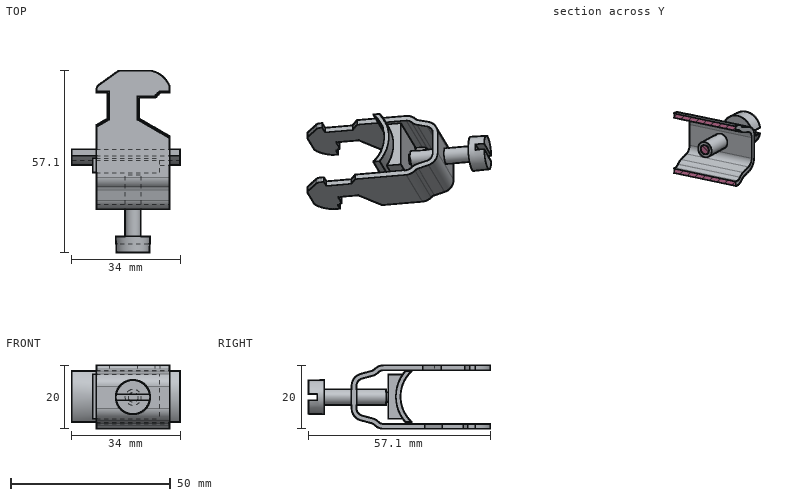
import cadquery as cq
import math


bracket_width = 22.95
bracket_height = 20.0
sheet = 1.6
arm_tip_y = 43.55
inner_bend = 2.4
outer_bend = inner_bend + sheet
arm_bend_y = 10.1
steep_angle = math.radians(45)
flank_angle = math.radians(15)
half_width = bracket_width / 2

tip_left_x = -4.45
tip_right_x = 5.65
slope_end_y = 38.55
nose_end_y = 38.75
nose_radius = 8.0
hook_corner_radius = 2.0

hook_y = 37.05
step_y = 35.5
neck_base_y = 28.2
neck_left_x = -7.5
neck_right_x = 1.4
step_inner_x = 6.8
step_outer_x = step_inner_x + hook_y - step_y
shoulder_angle = math.radians(30)
lower_arm_margin = 0.5
notch_overrun = 2.85

shaft_radius = 2.5
shaft_end_y = 10.9
tip_radius = 1.55
head_radius = 5.4
head_end_radius = 5.3
head_height = 5.1
head_end_y = arm_tip_y - 57.1
slot_width = 1.9
slot_depth = 2.8

saddle_length = 34.0
saddle_left_x = -19.25
saddle_height = 16.05
saddle_thickness = 1.5
saddle_inner_radius = 10.85
saddle_outer_radius = saddle_inner_radius + saddle_thickness
saddle_axis_y = 26.25
saddle_rise = 0.15
pad_left_x = -12.7
pad_back_y = 11.55
pad_height = 13.95
saddle_middle_x = saddle_left_x + saddle_length / 2
pad_length = 2 * (saddle_middle_x - pad_left_x)


def on_circle(center, radius, angle):
    """Point on a YZ circle; the angle runs from +Z towards -Y."""
    return (center[0] - radius * math.sin(angle), center[1] + radius * math.cos(angle))


def strip_envelope(inset):
    """Solid bounded by the bracket's outer skin moved inwards by the inset."""
    convex = outer_bend - inset
    concave = inner_bend + inset
    arm_center = (arm_bend_y, bracket_height / 2 - outer_bend)
    waist_center = on_circle(arm_center, outer_bend + inner_bend, steep_angle)
    flank_start = on_circle(waist_center, -inner_bend, flank_angle)
    flank_end_y = outer_bend * (1 - math.sin(flank_angle))
    flank_end_z = flank_start[1] - (flank_start[0] - flank_end_y) * math.tan(flank_angle)
    web_center = (outer_bend, flank_end_z - outer_bend * math.cos(flank_angle))
    mid_waist = (steep_angle + flank_angle) / 2
    mid_web = (flank_angle + math.pi / 2) / 2

    half = (
        cq.Workplane("YZ", origin=(-half_width, 0, 0))
        .moveTo(arm_tip_y, 0)
        .lineTo(arm_tip_y, bracket_height / 2 - inset)
        .lineTo(arm_bend_y, bracket_height / 2 - inset)
        .threePointArc(
            on_circle(arm_center, convex, steep_angle / 2),
            on_circle(arm_center, convex, steep_angle),
        )
        .threePointArc(
            on_circle(waist_center, -concave, mid_waist),
            on_circle(waist_center, -concave, flank_angle),
        )
        .lineTo(*on_circle(web_center, convex, flank_angle))
        .threePointArc(
            on_circle(web_center, convex, mid_web),
            on_circle(web_center, convex, math.pi / 2),
        )
        .lineTo(inset, 0)
        .close()
        .extrude(bracket_width)
    )
    return half.union(half.mirror("XY"))


def hook_outline():
    """Plan shape of the strip with its sloped left and rounded right tip corners."""
    blank = (
        cq.Workplane("XY", origin=(0, 0, -bracket_height / 2))
        .moveTo(-half_width, 0)
        .lineTo(half_width, 0)
        .lineTo(half_width, nose_end_y)
        .radiusArc((tip_right_x, arm_tip_y), -nose_radius)
        .lineTo(tip_left_x, arm_tip_y)
        .lineTo(-half_width, slope_end_y)
        .close()
        .extrude(bracket_height)
    )
    for x, y in [(tip_left_x, arm_tip_y), (-half_width, slope_end_y)]:
        corner = cq.selectors.NearestToPointSelector((x, y, 0))
        blank = blank.edges(corner).fillet(hook_corner_radius)
    return blank


def arm_notches(margin, height):
    """Both side notches of one arm, shrunk by the margin, from the middle plane to the height."""
    outside_x = half_width + notch_overrun
    left_drop = (outside_x + neck_left_x) * math.tan(shoulder_angle)
    right_drop = (outside_x - neck_right_x) * math.tan(shoulder_angle)
    left = [
        (-outside_x, hook_y),
        (neck_left_x, hook_y),
        (neck_left_x, neck_base_y),
        (-outside_x, neck_base_y - left_drop),
    ]
    right = [
        (outside_x, hook_y),
        (step_outer_x, hook_y),
        (step_inner_x, step_y),
        (neck_right_x, step_y),
        (neck_right_x, neck_base_y),
        (outside_x, neck_base_y - right_drop),
    ]
    cutters = cq.Workplane("XY")
    for points in (left, right):
        outline = cq.Workplane("XY").polyline(points).close()
        if margin > 0:
            outline = outline.offset2D(-margin, "intersection")
        cutters = cutters.add(outline.extrude(height))
    return cutters.combine()


def make_bracket():
    strip = strip_envelope(0).cut(strip_envelope(sheet))
    strip = strip.intersect(hook_outline())
    strip = strip.cut(arm_notches(0, bracket_height / 2))
    strip = strip.cut(arm_notches(lower_arm_margin, -bracket_height / 2))
    screw_hole = cq.Workplane("XZ").circle(shaft_radius).extrude(-outer_bend)
    return strip.cut(screw_hole)


def make_screw():
    head_base_y = head_end_y + head_height
    body = (
        cq.Workplane("XY")
        .moveTo(0, head_end_y)
        .lineTo(head_end_radius, head_end_y)
        .lineTo(head_radius, head_base_y)
        .lineTo(shaft_radius, head_base_y)
        .lineTo(shaft_radius, shaft_end_y)
        .lineTo(tip_radius, shaft_end_y)
        .lineTo(tip_radius, pad_back_y)
        .lineTo(0, pad_back_y)
        .close()
        .revolve(360, (0, 0, 0), (0, 1, 0))
    )
    slot = cq.Workplane("XY").box(2 * head_radius, 2 * slot_depth, slot_width)
    return body.cut(slot.translate((0, head_end_y, 0)))


def saddle_cylinder(radius):
    return (
        cq.Workplane("YZ", origin=(saddle_left_x, 0, 0))
        .center(saddle_axis_y, 0)
        .circle(radius)
        .extrude(saddle_length)
    )


def make_saddle():
    slab = (
        cq.Workplane("XY")
        .box(saddle_length, saddle_outer_radius, saddle_height)
        .translate((saddle_middle_x, saddle_axis_y - saddle_outer_radius / 2, 0))
    )
    bore = saddle_cylinder(saddle_inner_radius)
    plate = slab.intersect(saddle_cylinder(saddle_outer_radius)).cut(bore)
    pad_reach = saddle_axis_y - pad_back_y
    pad = (
        cq.Workplane("XY")
        .box(pad_length, pad_reach, pad_height)
        .translate((saddle_middle_x, pad_back_y + pad_reach / 2, 0))
        .cut(bore)
    )
    return plate.union(pad).translate((0, 0, saddle_rise))


bracket = make_bracket()
screw = make_screw()
saddle = make_saddle()

result = cq.Compound.makeCompound([
    *bracket.solids().vals(),
    *screw.solids().vals(),
    *saddle.solids().vals(),
])